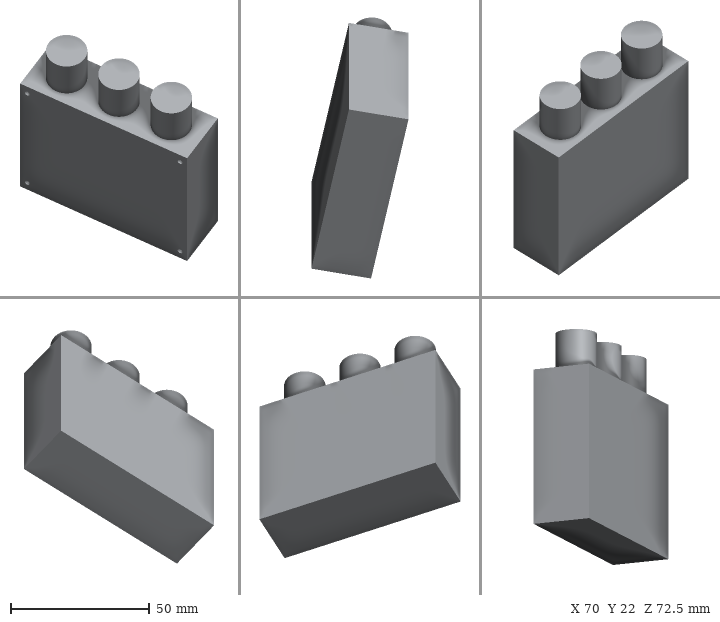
import cadquery as cq

body_width = 70.0
body_depth = 22.0
total_height = 72.5

knob_count = 3
knob_diameter = 15.0
knob_height = 15.0
knob_spacing = 22.0

hole_diameter = 2.0
hole_depth = 10.0
hole_side_inset = 3.0
hole_end_inset = 3.8

body_height = total_height - knob_height

body = cq.Workplane("XY").box(body_width, body_depth, body_height, centered=(True, True, False))

knobs = (
    cq.Workplane("XY", origin=(0, 0, body_height))
    .rarray(knob_spacing, 0.7, knob_count, 1)
    .circle(knob_diameter / 2)
    .extrude(knob_height)
)

holes = (
    cq.Workplane("XZ", origin=(0, -body_depth / 2, body_height / 2))
    .rarray(body_width - 2 * hole_side_inset, body_height - 2 * hole_end_inset, 2, 2)
    .circle(hole_diameter / 2)
    .extrude(-hole_depth)
)

result = body.union(knobs).cut(holes)